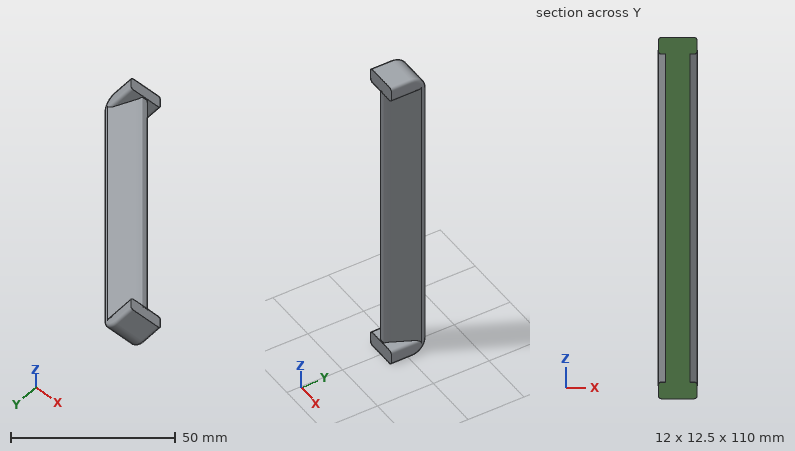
import cadquery as cq

length = 110.0
width = 12.0
depth = 12.5
cap_thickness = 5.2
bend_radius = 5.2
edge_radius = 1.1
rim_depth = 1.8

nose_width = 2.1
nose_setback = 0.3
nose_radius = 0.3
flank_end_width = 3.6
flank_end_setback = 2.3

half_width = width / 2
half_nose = nose_width / 2
half_flank_end = flank_end_width / 2
back = depth / 2
front = -depth / 2
nose = front + nose_setback
rim = back - rim_depth
flank_end = front + flank_end_setback


def make_envelope():
    """Solid block with rounded back corners and rounded outer long edges."""
    block = cq.Workplane("XY").box(width, depth, length)
    block = block.edges("|X and >Y").fillet(bend_radius)
    outer_faces = block.faces(">Y")
    return outer_faces.edges("|Z").fillet(edge_radius)


def make_web_half(side):
    """Right (side = 1) or left (side = -1) half of the tapered web."""
    return (
        cq.Workplane("XY")
        .moveTo(0, back)
        .lineTo(side * half_width, back)
        .lineTo(side * half_width, rim)
        .lineTo(side * half_flank_end, flank_end)
        .tangentArcPoint((side * half_nose, nose), relative=False)
        .lineTo(0, nose)
        .close()
        .extrude(length / 2, both=True)
    )


def make_web():
    """Full-length web whose flanks curve into a narrow rounded nose."""
    web = make_web_half(1).union(make_web_half(-1)).clean()
    return web.faces("<Y").edges("|Z").fillet(nose_radius)


def make_cap(side):
    """End cap at the top (side = 1) or bottom (side = -1), inner edges rounded."""
    center_z = side * (length - cap_thickness) / 2
    cap = cq.Workplane("XY").box(width, depth, cap_thickness).translate((0, 0, center_z))
    inner_face = "<Z" if side > 0 else ">Z"
    return cap.faces(inner_face).edges("|Y").fillet(edge_radius)


frame = make_web()
for cap_side in (1, -1):
    frame = frame.union(make_cap(cap_side))

result = make_envelope().intersect(frame)